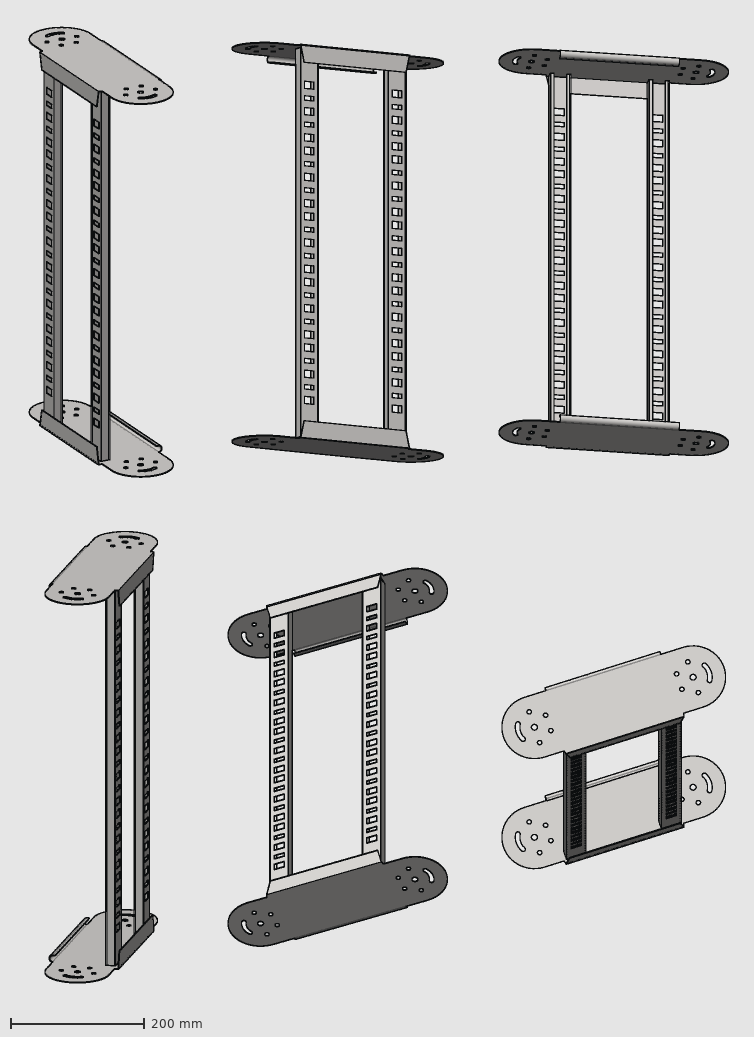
import cadquery as cq
import math

frame_length = 348.0
frame_height = 600.0
sheet = 1.5

plate_width = 98.0
end_radius = plate_width / 2
pivot_x = frame_length / 2 - end_radius
bend_reach = 6.0
flange_bend_width = 186.0
flange_tip_width = 174.0
flange_drop = 27.0
hem_width = 181.0
hem_return = 3.5

pivot_diameter = 9.0
bolt_diameter = 6.5
bolt_circle_radius = 25.0
bolt_angles = (-90, -30, 30, 90)
arc_slot_half_angle = 30
arc_slot_width = 6.5

rail_width = 31.0
rail_depth = 15.0
rail_lip = 6.0
rail_span = 181.0
end_gap = 2.1
rail_bottom_z = sheet + end_gap
rail_top_z = frame_height - rail_bottom_z
rail_front_y = -plate_width / 2
rail_center_x = (rail_span - rail_width) / 2

slot_width = 16.0
tall_slot = 11.0
short_slot = 6.5
slot_pattern = (tall_slot, short_slot, tall_slot, short_slot, tall_slot)
pattern_repeats = 5
slot_heights = slot_pattern * pattern_repeats
slot_column = 480.0
slot_pitch = slot_column / (len(slot_heights) - 1)


def box_between(x0, x1, y0, y1, z0, z1):
    """Axis-aligned box given by its limits."""
    return cq.Workplane("XY").box(x1 - x0, y1 - y0, z1 - z0, centered=False).translate((x0, y0, z0))


def polar(radius, degrees):
    """Point at a radius and an angle from +X."""
    angle = math.radians(degrees)
    return (radius * math.cos(angle), radius * math.sin(angle))


def hole_group():
    """Cutter for the holes at the +X end, with the pivot at the origin and inboard toward -X."""
    pivot = cq.Workplane("XY").circle(pivot_diameter / 2).extrude(sheet)
    bolts = (
        cq.Workplane("XY")
        .pushPoints([polar(bolt_circle_radius, 180 + angle) for angle in bolt_angles])
        .circle(bolt_diameter / 2)
        .extrude(sheet)
    )
    inner = bolt_circle_radius - arc_slot_width / 2
    outer = bolt_circle_radius + arc_slot_width / 2
    spread = arc_slot_half_angle
    arc_slot = (
        cq.Workplane("XY")
        .moveTo(*polar(inner, -spread))
        .threePointArc((inner, 0), polar(inner, spread))
        .tangentArcPoint(polar(outer, spread), relative=False)
        .threePointArc((outer, 0), polar(outer, -spread))
        .tangentArcPoint(polar(inner, -spread), relative=False)
        .close()
        .extrude(sheet)
    )
    return pivot.union(bolts).union(arc_slot)


def front_flange():
    """Tongue past the front edge, bent up square into a flange; both share one side taper."""
    back_y = -plate_width / 2
    front_y = back_y - bend_reach
    half_tip = flange_tip_width / 2
    half_bend = flange_bend_width / 2
    side_slope = (half_bend - half_tip) / flange_drop
    half_root = half_bend + side_slope * bend_reach
    tongue = (
        cq.Workplane("XY")
        .polyline([
            (-half_root, back_y),
            (-half_bend, front_y),
            (half_bend, front_y),
            (half_root, back_y),
        ])
        .close()
        .extrude(sheet)
    )
    flange = (
        cq.Workplane("XZ", origin=(0, front_y + sheet, 0))
        .polyline([
            (-half_bend, 0),
            (half_bend, 0),
            (half_tip, flange_drop),
            (-half_tip, flange_drop),
        ])
        .close()
        .extrude(sheet)
    )
    return tongue.union(flange)


def rolled_edge():
    """Rear edge rolled up through a half turn, ending in a short straight lip."""
    edge_y = plate_width / 2
    outer = bend_reach
    inner = outer - sheet
    return (
        cq.Workplane("YZ", origin=(-hem_width / 2, 0, 0))
        .moveTo(edge_y, 0)
        .threePointArc((edge_y + outer, outer), (edge_y, 2 * outer))
        .lineTo(edge_y - hem_return, 2 * outer)
        .lineTo(edge_y - hem_return, 2 * outer - sheet)
        .lineTo(edge_y, 2 * outer - sheet)
        .threePointArc((edge_y + inner, outer), (edge_y, sheet))
        .close()
        .extrude(hem_width)
    )


def make_bottom_plate():
    """End plate lying on Z = 0 with its flange and rolled edge turned up."""
    plate = cq.Workplane("XY").slot2D(frame_length, plate_width).extrude(sheet)
    holes = hole_group().translate((pivot_x, 0, 0))
    plate = plate.cut(holes).cut(holes.mirror("YZ"))
    return plate.union(front_flange()).union(rolled_edge())


def make_rail(center_x):
    """Lipped channel, open to the rear, with a column of slots through its front wall."""
    half = rail_width / 2
    rear_y = rail_front_y + rail_depth
    inner_half = half - sheet
    opening_half = half - rail_lip
    lip_y = rear_y - sheet
    web_y = rail_front_y + sheet
    rail = box_between(-half, half, rail_front_y, rear_y, rail_bottom_z, rail_top_z)
    cavity = box_between(-inner_half, inner_half, web_y, lip_y, rail_bottom_z, rail_top_z)
    opening = box_between(-opening_half, opening_half, lip_y, rear_y, rail_bottom_z, rail_top_z)
    rail = rail.cut(cavity).cut(opening)

    first_z = (frame_height - slot_column) / 2
    for index, height in enumerate(slot_heights):
        z = first_z + index * slot_pitch
        slot = box_between(
            -slot_width / 2, slot_width / 2,
            rail_front_y, web_y,
            z - height / 2, z + height / 2,
        )
        rail = rail.cut(slot)
    return rail.translate((center_x, 0, 0))


bottom_plate = make_bottom_plate()
top_plate = bottom_plate.mirror("XY").translate((0, 0, frame_height))
rails = [make_rail(side * rail_center_x) for side in (-1, 1)]

result = cq.Compound.makeCompound([
    bottom_plate.val(),
    top_plate.val(),
    *[rail.val() for rail in rails],
])